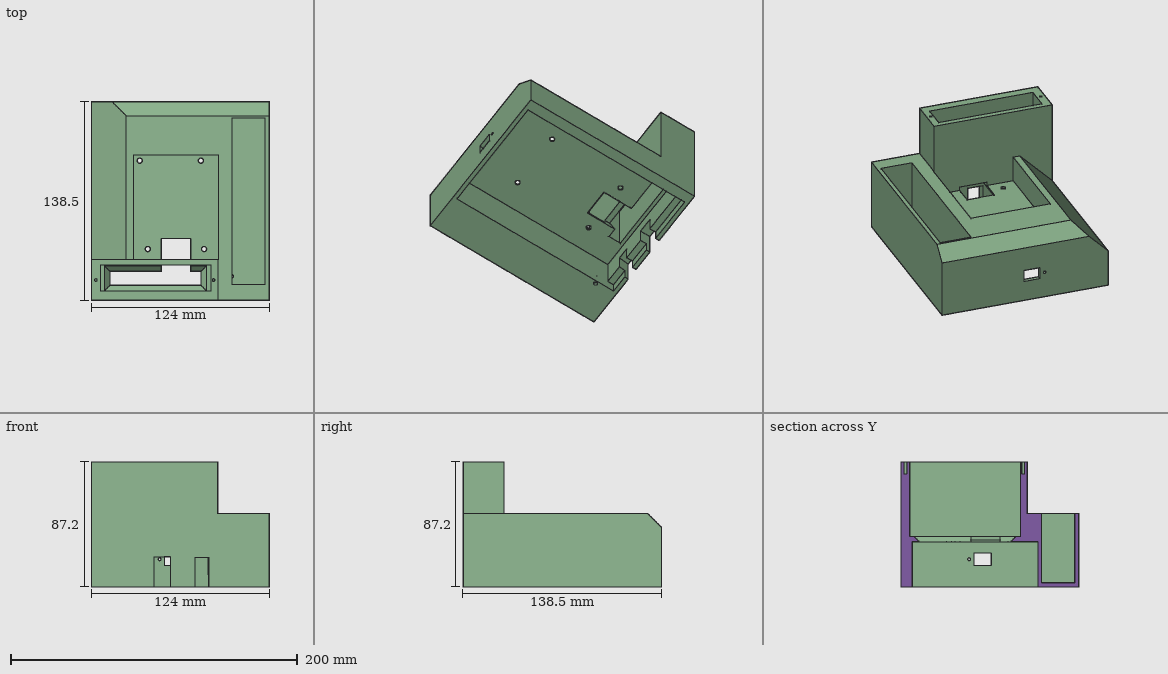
import cadquery as cq

WIDTH = 124.0
DEPTH = 138.5
HEIGHT = 87.2

BASE_HEIGHT = 51.4
TOWER_WIDTH = 88.2
TOWER_DEPTH = 28.5
LEFT_BEVEL = 24.2
REAR_BEVEL = 9.8

WALL = 3.0
CAVITY_LEFT = 7.9
CAVITY_RIGHT = 95.5
CAVITY_HEIGHT = 31.5
RIM_DEPTH = 7.9
RIM_BOTTOM = 8.6

LEFT_NOTCH_X = (43.8, 55.1)
LEFT_NOTCH_HEIGHT = 21.0
RIGHT_NOTCH_X = (72.3, 81.8)
RIGHT_NOTCH_HEIGHT = 20.5
RIGHT_NOTCH_TAPER = 0.7

SWITCH_LEFT = 51.1
SWITCH_WIDTH = 11.8
SWITCH_HEIGHT = 8.6
SWITCH_Z = 19.4
SWITCH_SCREW_X = 47.5
SCREW_DIAMETER = 1.8

POCKET_LEFT = 29.2
POCKET_RIGHT = 88.5
POCKET_BACK = 101.4
POCKET_FLOOR = 32.7
BOARD_HOLE_DIAMETER = 3.5
BOARD_HOLES = [(33.6, 97.3), (76.3, 97.3), (39.3, 35.7), (78.5, 35.7)]

WELL_LEFT = 6.2
WELL_RIGHT = 83.2
WELL_FRONT = 6.6
WELL_BACK = 24.5
FUNNEL_LEFT = 9.1
FUNNEL_RIGHT = 80.2
FUNNEL_BACK = 24.0
FUNNEL_INSET = 3.9
FUNNEL_TOP = CAVITY_HEIGHT + FUNNEL_INSET
PASSAGE_LEFT = 48.7
PASSAGE_RIGHT = 69.1
PASSAGE_BACK = 43.0

COVER_SCREW_X = (3.0, 85.2)
COVER_SCREW_Y = 14.1
COVER_SCREW_DEPTH = 8.3

TRAY_LEFT = 98.2
TRAY_RIGHT = 121.2
TRAY_FRONT = 11.1
TRAY_BACK = 127.1
FOOT_SCREW_X = 97.6
FOOT_SCREW_Y = 16.8
FOOT_SCREW_DIAMETER = 2.6
FOOT_SCREW_DEPTH = 8.3

CUT_MARGIN = 1.4


def block(x_range, y_range, z_range):
    """Axis-aligned box between the given limits."""
    sizes = [high - low for low, high in (x_range, y_range, z_range)]
    corner = (x_range[0], y_range[0], z_range[0])
    return cq.Workplane("XY").box(*sizes, centered=False).translate(corner)


def vertical_pin(x, y, diameter, bottom, top):
    """Upright cylinder used to cut a hole."""
    return cq.Workplane("XY", origin=(x, y, bottom)).circle(diameter / 2).extrude(top - bottom)


def bevel_wedge(plane, outer_edge, size, length):
    """Triangular prism that removes a 45 degree bevel from the top of the base."""
    inward = size if outer_edge == 0 else -size
    return (
        cq.Workplane(plane)
        .moveTo(outer_edge, BASE_HEIGHT)
        .lineTo(outer_edge + inward, BASE_HEIGHT)
        .lineTo(outer_edge, BASE_HEIGHT - size)
        .close()
        .extrude(length)
    )


def outer_body():
    base = block((0, WIDTH), (0, DEPTH), (0, BASE_HEIGHT))
    base = base.cut(bevel_wedge("XZ", 0, LEFT_BEVEL, -DEPTH))
    base = base.cut(bevel_wedge("YZ", DEPTH, REAR_BEVEL, WIDTH))
    tower = block((0, TOWER_WIDTH), (0, TOWER_DEPTH), (0, HEIGHT))
    return base.union(tower)


def underside_cavity():
    """Cavity open at the bottom, with a thicker front wall above the rim."""
    cavity = block((CAVITY_LEFT, CAVITY_RIGHT), (WALL, DEPTH - WALL), (0, CAVITY_HEIGHT))
    rim = block((CAVITY_LEFT, CAVITY_RIGHT), (WALL, RIM_DEPTH), (RIM_BOTTOM, CAVITY_HEIGHT))
    return cavity.cut(rim)


def front_notch(x_range, height, taper=0.0):
    """Notch through the front wall; its right side moves inward by the taper."""
    left, right = x_range
    return (
        cq.Workplane("XY")
        .moveTo(left, 0)
        .lineTo(right, 0)
        .lineTo(right - taper, RIM_DEPTH)
        .lineTo(left, RIM_DEPTH)
        .close()
        .extrude(height)
    )


def switch_opening():
    wall_y = DEPTH - WALL - CUT_MARGIN
    window = block(
        (SWITCH_LEFT, SWITCH_LEFT + SWITCH_WIDTH),
        (wall_y, DEPTH),
        (SWITCH_Z - SWITCH_HEIGHT / 2, SWITCH_Z + SWITCH_HEIGHT / 2),
    )
    screw = (
        cq.Workplane("XZ", origin=(SWITCH_SCREW_X, DEPTH, SWITCH_Z))
        .circle(SCREW_DIAMETER / 2)
        .extrude(DEPTH - wall_y)
    )
    return window.union(screw)


def board_pocket():
    pocket = block((POCKET_LEFT, POCKET_RIGHT), (TOWER_DEPTH, POCKET_BACK), (POCKET_FLOOR, BASE_HEIGHT))
    for x, y in BOARD_HOLES:
        hole = vertical_pin(x, y, BOARD_HOLE_DIAMETER, CAVITY_HEIGHT - CUT_MARGIN, POCKET_FLOOR + CUT_MARGIN)
        pocket = pocket.union(hole)
    return pocket


def funnel():
    """45 degree funnel from the well floor down to the cavity ceiling."""
    length = FUNNEL_RIGHT - FUNNEL_LEFT
    breadth = FUNNEL_BACK - WELL_FRONT
    center = (FUNNEL_LEFT + length / 2, WELL_FRONT + breadth / 2, FUNNEL_TOP)
    return (
        cq.Workplane("XY", origin=center)
        .rect(length, breadth)
        .workplane(offset=-FUNNEL_INSET)
        .rect(length - 2 * FUNNEL_INSET, breadth - 2 * FUNNEL_INSET)
        .loft(ruled=True)
    )


def tower_well():
    well = block((WELL_LEFT, WELL_RIGHT), (WELL_FRONT, WELL_BACK), (FUNNEL_TOP, HEIGHT))
    passage_front = FUNNEL_BACK - FUNNEL_INSET
    passage = block(
        (PASSAGE_LEFT, PASSAGE_RIGHT), (passage_front, PASSAGE_BACK), (CAVITY_HEIGHT, FUNNEL_TOP)
    )
    return well.union(funnel()).union(passage)


result = outer_body()
result = result.cut(underside_cavity())
result = result.cut(front_notch(LEFT_NOTCH_X, LEFT_NOTCH_HEIGHT))
result = result.cut(front_notch(RIGHT_NOTCH_X, RIGHT_NOTCH_HEIGHT, RIGHT_NOTCH_TAPER))
result = result.cut(switch_opening())
result = result.cut(board_pocket())
result = result.cut(tower_well())

result = result.cut(block((TRAY_LEFT, TRAY_RIGHT), (TRAY_FRONT, TRAY_BACK), (WALL, BASE_HEIGHT)))

for screw_x in COVER_SCREW_X:
    result = result.cut(
        vertical_pin(screw_x, COVER_SCREW_Y, SCREW_DIAMETER, HEIGHT - COVER_SCREW_DEPTH, HEIGHT)
    )
result = result.cut(vertical_pin(FOOT_SCREW_X, FOOT_SCREW_Y, FOOT_SCREW_DIAMETER, 0, FOOT_SCREW_DEPTH))